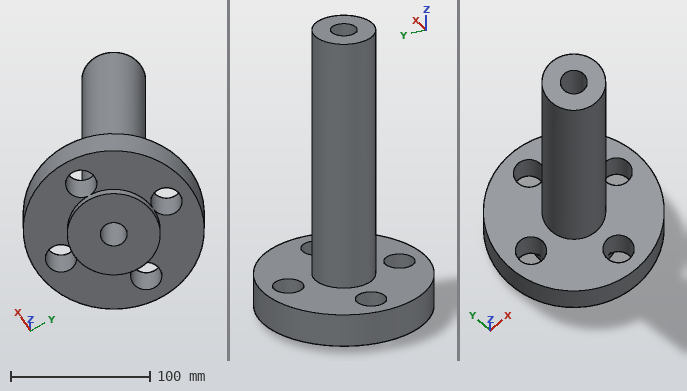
import cadquery as cq

total_height = 228.5
flange_diameter = 130.0
flange_thickness = 25.4
face_diameter = 66.8
face_height = 6.5
stem_diameter = 46.0
bore_diameter = 19.2

bolt_count = 4
bolt_hole_diameter = 22.5
bolt_circle_diameter = 89.0

flange_top = face_height + flange_thickness
stem_height = total_height - flange_top


def cylinder(diameter, height, base=0):
    """Upright cylinder on the Z axis, standing at height base."""
    return cq.Workplane("XY").workplane(offset=base).circle(diameter / 2).extrude(height)


raised_face = cylinder(face_diameter, face_height)
flange = cylinder(flange_diameter, flange_thickness, face_height)
stem = cylinder(stem_diameter, stem_height, flange_top)
body = raised_face.union(flange).union(stem)

bore = cylinder(bore_diameter, total_height)

bolt_holes = (
    cq.Workplane("XY")
    .polarArray(bolt_circle_diameter / 2, 0, 360, bolt_count)
    .circle(bolt_hole_diameter / 2)
    .extrude(flange_top)
)

result = body.cut(bore).cut(bolt_holes)